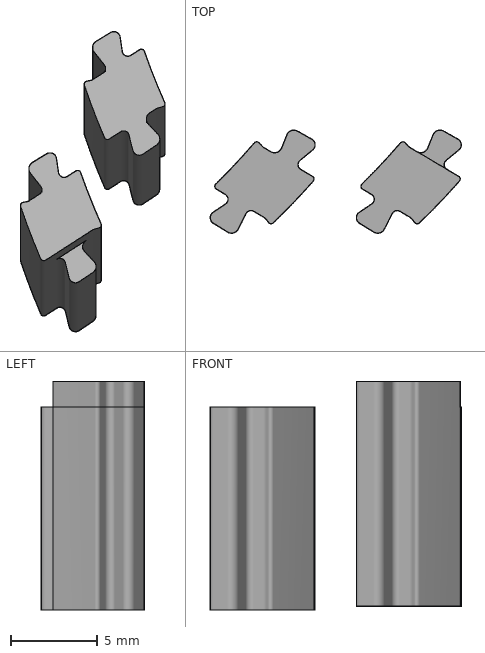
import cadquery as cq
import math

BAR_HEIGHT = 11.77
TALL_BAR_BASE = 0.22
TALL_BAR_TOP = 13.25
BAR_SPACING = 8.47
SIDE_BOW = 0.05

BODY_CORNER_R = 0.19
TAB_WIDE_R = 0.44
TAB_SHARP_R = 0.38
NECK_WIDE_R = 0.44
NECK_SHARP_R = 0.32
FRONT_NECK_R = 0.32
FLARE_R = 0.44

REAR_LEFT = (-0.35, 2.4)
REAR_FLARE = (0.03, 2.0)
REAR_RIGHT = (3.08, 0.19)
FRONT_RIGHT = (0.47, -2.55)
FRONT_FLARE = (0.15, -2.12)
FRONT_LEFT = (-2.9, -0.32)

REAR_NECK = (1.02, 2.08)
FRONT_NECK = (1.1, 2.18)

REAR_TAB_LEFT = (1.59, 3.17)
REAR_TAB_RIGHT = (3.33, 2.18)
FRONT_TAB_LEFT = (-3.36, -2.11)
FRONT_TAB_RIGHT = (-1.63, -3.19)


def along(start, end, distance):
    """Point at a distance from start on the line toward end."""
    fraction = distance / math.dist(start, end)
    return tuple(a + fraction * (b - a) for a, b in zip(start, end))


def bowed_middle(start, end):
    """Middle of a long side, pushed sideways by the bow toward +X, -Y."""
    length = math.dist(start, end)
    across_x = abs(end[1] - start[1]) / length
    across_y = -abs(end[0] - start[0]) / length
    return (
        (start[0] + end[0]) / 2 + SIDE_BOW * across_x,
        (start[1] + end[1]) / 2 + SIDE_BOW * across_y,
    )


def rear_tab():
    """Dovetail tab corners with radii, from the left neck to the right neck."""
    return [
        (along(REAR_FLARE, REAR_RIGHT, REAR_NECK[0]), NECK_WIDE_R),
        (REAR_TAB_LEFT, TAB_WIDE_R),
        (REAR_TAB_RIGHT, TAB_SHARP_R),
        (along(REAR_FLARE, REAR_RIGHT, REAR_NECK[1]), NECK_SHARP_R),
    ]


def front_tab():
    """Dovetail tab corners with radii, from the right neck to the left neck."""
    return [
        (along(FRONT_FLARE, FRONT_LEFT, FRONT_NECK[0]), FRONT_NECK_R),
        (FRONT_TAB_RIGHT, TAB_WIDE_R),
        (FRONT_TAB_LEFT, TAB_SHARP_R),
        (along(FRONT_FLARE, FRONT_LEFT, FRONT_NECK[1]), NECK_SHARP_R),
    ]


def bar_prism(bottom, top, with_rear_tab=True):
    """Upright prism of the bar's outline, with every corner rounded."""
    rear_end = [(REAR_LEFT, BODY_CORNER_R), (REAR_FLARE, FLARE_R)]
    if with_rear_tab:
        rear_end += rear_tab()
    rear_end.append((REAR_RIGHT, BODY_CORNER_R))
    front_end = [(FRONT_RIGHT, BODY_CORNER_R), (FRONT_FLARE, FLARE_R)]
    front_end += front_tab()
    front_end.append((FRONT_LEFT, BODY_CORNER_R))

    outline = cq.Workplane("XY", origin=(0, 0, bottom)).moveTo(*REAR_LEFT)
    for point, _ in rear_end[1:]:
        outline = outline.lineTo(*point)
    outline = outline.threePointArc(bowed_middle(REAR_RIGHT, FRONT_RIGHT), FRONT_RIGHT)
    for point, _ in front_end[1:]:
        outline = outline.lineTo(*point)
    outline = outline.threePointArc(bowed_middle(FRONT_LEFT, REAR_LEFT), REAR_LEFT)
    prism = outline.close().extrude(top - bottom)

    middle = (bottom + top) / 2
    for point, radius in rear_end + front_end:
        corner = cq.NearestToPointSelector((*point, middle))
        prism = prism.edges("|Z").edges(corner).fillet(radius)
    return prism


def make_short_bar():
    """Bar with both tabs running its full height."""
    return bar_prism(0, BAR_HEIGHT)


def make_tall_bar():
    """Bar whose rear tab stops below the top."""
    lower = bar_prism(TALL_BAR_BASE, BAR_HEIGHT)
    upper = bar_prism(BAR_HEIGHT, TALL_BAR_TOP, with_rear_tab=False)
    return lower.union(upper).translate((BAR_SPACING, 0, 0))


short_bar = make_short_bar()
tall_bar = make_tall_bar()

result = cq.Compound.makeCompound([short_bar.val(), tall_bar.val()])